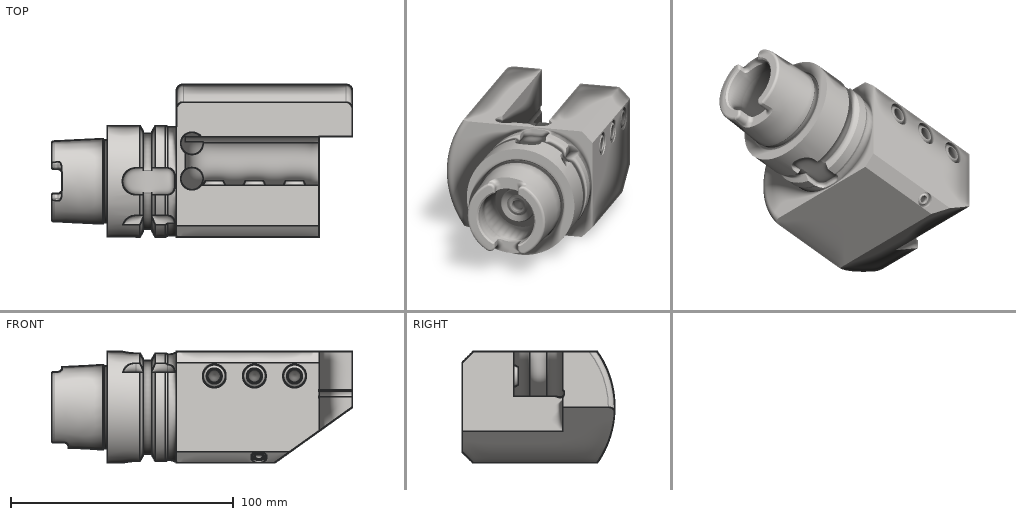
import cadquery as cq
import math


block_start = 31.0
block_end = 95.0
bar_end = 110.0
half_height = 25.0
back_radius = 43.47
back_fillet = 3.0
front_chamfer = 5.0
slope_start_x = 75.0
slope_end_z = 0.0

pocket_start = 35.0
pocket_front_y = -1.8
pocket_back_y = 20.0
pocket_floor_z = 5.0
relief_hole_radius = 5.0
relief_hole_inset = 3.0
relief_hole_extra_depth = 0.4
undercut_height = 2.9
undercut_lead_width = 0.7
undercut_lead_height = 0.8
undercut_width = 2.7
undercut_depth = 0.7
undercut_lowest_offset = 1.2

flange_radius = 25.0
groove_radius = 21.6
groove_start = 16.25
groove_end = 20.0
groove_flank_width = 1.6
groove_flank_angle = 60.0
collar_start = 26.1
collar_cone_end = 27.2
collar_radius = 24.5

shank_length = 25.0
taper_large_radius = 19.15
taper_end_x = -2.0
taper_radius_per_length = 0.05
shank_end_round = 1.0
neck_radius = 18.6
neck_bevel = 0.6
face_recess_radius = 20.1
face_recess_depth = 0.5

bore_radius = 13.0
bore_mouth_chamfer = 0.7
bore_cone_start = -15.0
bore_floor_radius = 11.75
boss_radius = 8.0
boss_height = 5.0
boss_chamfer = 0.5

notch_half_width = 5.4
notch_shoulder_z = 15.9
notch_shoulder_round = 2.1
notch_shoulder_half_width = 12.0
notch_mouth_round = 1.0
notch_corner_radius = 1.8
upper_notch_depth = 4.7
lower_notch_depth = 7.5

keyway_start = 6.8
keyway_end = 30.2
keyway_half_width = 6.0
keyway_end_round = 3.2
keyway_floor = 21.0
side_keyway_center_y = -21.3
side_keyway_floor = 15.6

clamp_screw = dict(hole=10.5, body=10.0, face=7.0, bore=5.77, sink=0.2, bevel=1.5, depth=4.0)
corner_screw = dict(hole=7.0, body=6.0, face=4.3, bore=3.46, sink=0.8, bevel=0.85, depth=2.5)
boss_screw = dict(hole=10.0, body=9.5, face=7.0, bore=5.2, sink=0.0, bevel=0.8, depth=4.0)
clamp_screw_first_x = 48.0
clamp_screw_pitch = 18.0
clamp_screw_count = 3
clamp_screw_z = 14.0
clamp_tip_diameter = 8.0
clamp_tip_height = 2.0
corner_screw_x = 68.0
socket_tip_half_angle = 59.0

selection_margin = 0.01


def box(x0, x1, y0, y1, z0, z1):
    return cq.Workplane("XY").box(x1 - x0, y1 - y0, z1 - z0, centered=False).translate((x0, y0, z0))


def cone(base_diameter, end_diameter, height, base, direction):
    base_point = cq.Vector(*base)
    axis = cq.Vector(*direction)
    return cq.Workplane(cq.Solid.makeCone(base_diameter / 2, end_diameter / 2, height, base_point, axis))


def make_block():
    """Block with a rounded, filleted back, chamfered front corners and a sloped lower end."""
    length = bar_end - block_start
    rounded = cq.Workplane("YZ").workplane(offset=block_start).circle(back_radius).extrude(length)
    rounded = rounded.edges().fillet(back_fillet)
    outline = (
        box(block_start, bar_end, -half_height, back_radius, -half_height, half_height)
        .edges("|X and <Y")
        .chamfer(front_chamfer)
    )
    block = outline.intersect(rounded)
    block = block.cut(box(block_end, bar_end, -half_height, pocket_back_y, -half_height, half_height))
    slope = (
        cq.Workplane("XZ")
        .moveTo(slope_start_x, -half_height)
        .lineTo(bar_end, slope_end_z)
        .lineTo(bar_end, -half_height)
        .close()
        .extrude(2 * back_radius, both=True)
    )
    return block.cut(slope)


def make_pocket():
    """Tool pocket open to +X and +Z, with corner relief holes and a round undercut at the back."""
    pocket = box(pocket_start, bar_end, pocket_front_y, pocket_back_y, pocket_floor_z, half_height)
    hole_floor = pocket_floor_z - relief_hole_extra_depth
    for y in (pocket_front_y + relief_hole_inset, pocket_back_y - relief_hole_inset):
        hole = (
            cq.Workplane("XY", origin=(pocket_start + relief_hole_inset, y, hole_floor))
            .circle(relief_hole_radius)
            .extrude(half_height - hole_floor)
        )
        pocket = pocket.union(hole)
    undercut_top = pocket_floor_z + undercut_height
    undercut = (
        cq.Workplane("YZ", origin=(pocket_start, 0, 0))
        .moveTo(pocket_back_y, undercut_top)
        .lineTo(pocket_back_y + undercut_lead_width, undercut_top - undercut_lead_height)
        .threePointArc(
            (pocket_back_y - undercut_lowest_offset, pocket_floor_z - undercut_depth),
            (pocket_back_y - undercut_width, pocket_floor_z),
        )
        .close()
        .extrude(bar_end - pocket_start)
    )
    return pocket.union(undercut)


def make_flange_and_shank():
    """Turned outline of the shank, face recess, flange, gripping groove and collar."""
    taper_length = shank_length + taper_end_x
    end_radius = taper_large_radius - taper_radius_per_length * taper_length
    round_start_radius = end_radius + taper_radius_per_length * shank_end_round
    round_mid = shank_end_round * (1 - math.sqrt(0.5))
    flank_foot = flange_radius - groove_flank_width * math.tan(math.radians(groove_flank_angle))
    return (
        cq.Workplane("XY")
        .moveTo(-shank_length, 0)
        .lineTo(-shank_length, end_radius - shank_end_round)
        .threePointArc(
            (-shank_length + round_mid, end_radius - round_mid),
            (-shank_length + shank_end_round, round_start_radius),
        )
        .lineTo(taper_end_x, taper_large_radius)
        .lineTo(taper_end_x + neck_bevel, neck_radius)
        .lineTo(face_recess_depth, neck_radius)
        .lineTo(face_recess_depth, face_recess_radius - face_recess_depth)
        .lineTo(0, face_recess_radius)
        .lineTo(0, flange_radius)
        .lineTo(groove_start - groove_flank_width, flange_radius)
        .lineTo(groove_start, flank_foot)
        .lineTo(groove_start, groove_radius)
        .lineTo(groove_end, groove_radius)
        .lineTo(groove_end, flank_foot)
        .lineTo(groove_end + groove_flank_width, flange_radius)
        .lineTo(collar_start, flange_radius)
        .lineTo(collar_cone_end, collar_radius)
        .lineTo(block_start, collar_radius)
        .lineTo(block_start, 0)
        .close()
        .revolve(360, (0, 0, 0), (1, 0, 0))
    )


def make_bore():
    """Bore of the shank, narrowing inward, with a chamfered boss left on its floor."""
    mouth_radius = bore_radius + bore_mouth_chamfer
    return (
        cq.Workplane("XY")
        .moveTo(-shank_length, 0)
        .lineTo(-shank_length, mouth_radius)
        .lineTo(-shank_length + bore_mouth_chamfer, bore_radius)
        .lineTo(bore_cone_start, bore_radius)
        .lineTo(0, bore_floor_radius)
        .lineTo(0, boss_radius)
        .lineTo(-boss_height + boss_chamfer, boss_radius)
        .lineTo(-boss_height, boss_radius - boss_chamfer)
        .lineTo(-boss_height, 0)
        .close()
        .revolve(360, (0, 0, 0), (1, 0, 0))
    )


def make_drive_notch(depth, side):
    """Notch through the shank wall, wider outside a rounded shoulder, with rounded mouth and floor."""
    round_mid = notch_shoulder_round * (1 - math.sqrt(0.5))
    profile = (
        cq.Workplane("YZ", origin=(-shank_length, 0, 0))
        .lineTo(notch_half_width, 0)
        .lineTo(notch_half_width, notch_shoulder_z - notch_shoulder_round)
        .threePointArc(
            (notch_half_width + round_mid, notch_shoulder_z - round_mid),
            (notch_half_width + notch_shoulder_round, notch_shoulder_z),
        )
        .lineTo(notch_shoulder_half_width, notch_shoulder_z)
        .lineTo(notch_shoulder_half_width, flange_radius)
        .lineTo(0, flange_radius)
        .close()
    )
    half = profile.extrude(depth)
    notch = half.union(half.mirror("XZ"))

    def wall_edges(x):
        reach = notch_shoulder_half_width - notch_mouth_round
        return cq.selectors.BoxSelector(
            (x - selection_margin, -reach, notch_mouth_round),
            (x + selection_margin, reach, flange_radius - notch_mouth_round),
        )

    notch = notch.edges(wall_edges(depth - shank_length)).fillet(notch_corner_radius)
    mouth_plate = box(
        -shank_length - notch_mouth_round, -shank_length,
        -flange_radius, flange_radius, 0, flange_radius,
    )
    notch = notch.union(mouth_plate)
    notch = notch.edges(wall_edges(-shank_length)).fillet(notch_mouth_round)
    return notch if side > 0 else notch.mirror("XY")


def make_keyway(center_y, floor):
    """Keyway with a full round end toward the shank and rounded corners toward the block."""
    round_center_x = keyway_start + keyway_half_width
    y_low = center_y - keyway_half_width
    y_high = center_y + keyway_half_width
    straight = box(round_center_x, keyway_end, y_low, y_high, floor, flange_radius)
    straight = straight.edges("|Z and >X").fillet(keyway_end_round)
    round_end = (
        cq.Workplane("XY", origin=(round_center_x, center_y, floor))
        .circle(keyway_half_width)
        .extrude(flange_radius - floor)
    )
    return straight.union(round_end)


def make_screw_cut(screw, surface_point, inward):
    """Space around the beveled end of a set screw, with its socket; inward points into the part."""
    surface = cq.Plane(origin=surface_point, normal=inward)
    end_point = surface.toWorldCoords((0, 0, screw["sink"])).toTuple()
    socket_end = surface.toWorldCoords((0, 0, screw["sink"] + screw["depth"])).toTuple()
    space = cq.Workplane(surface).circle(screw["hole"] / 2).extrude(screw["sink"] + screw["bevel"])
    space = space.cut(cone(screw["face"], screw["body"], screw["bevel"], end_point, inward))
    socket = (
        cq.Workplane(cq.Plane(origin=end_point, normal=inward))
        .circle(screw["bore"] / 2)
        .extrude(screw["depth"])
    )
    tip_height = screw["bore"] / 2 / math.tan(math.radians(socket_tip_half_angle))
    return space.union(socket).union(cone(screw["bore"], 0, tip_height, socket_end, inward))


def make_clamp_tip(screw_x):
    """Tapered tip of a clamping screw standing out of the front wall of the pocket."""
    base = (screw_x, pocket_front_y, clamp_screw_z)
    return cone(clamp_screw["body"], clamp_tip_diameter, clamp_tip_height, base, (0, 1, 0))


result = make_block().cut(make_pocket())
result = result.union(make_flange_and_shank()).cut(make_bore())

result = result.cut(make_drive_notch(upper_notch_depth, 1))
result = result.cut(make_drive_notch(lower_notch_depth, -1))

main_keyway = make_keyway(0, keyway_floor)
result = result.cut(main_keyway).cut(main_keyway.mirror("XY"))
result = result.cut(make_keyway(side_keyway_center_y, side_keyway_floor))

for i in range(clamp_screw_count):
    screw_x = clamp_screw_first_x + i * clamp_screw_pitch
    surface_point = (screw_x, -half_height, clamp_screw_z)
    result = result.union(make_clamp_tip(screw_x))
    result = result.cut(make_screw_cut(clamp_screw, surface_point, (0, 1, 0)))

chamfer_middle = front_chamfer / 2 - half_height
corner_point = (corner_screw_x, chamfer_middle, chamfer_middle)
result = result.cut(make_screw_cut(corner_screw, corner_point, (0, 1, 1)))
result = result.cut(make_screw_cut(boss_screw, (-boss_height, 0, 0), (1, 0, 0)))